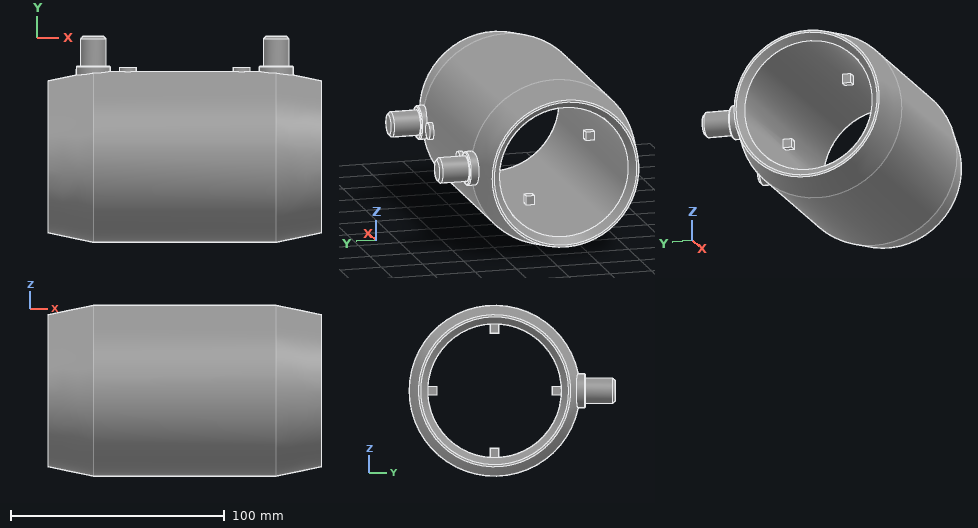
import cadquery as cq

length = 128.0
body_diameter = 80.0
body_radius = body_diameter / 2
end_radius = 35.6
straight_length = 85.5
bore_radius = 31.2
lip_width = 1.0
mouth_depth = 3.0

tab_count = 4
tab_width = 4.1
tab_thickness = 4.1
tab_tip_radius = 26.9

terminal_x = straight_length / 2
overall_width = 96.5
terminal_tip_y = overall_width - body_radius
terminal_diameter = 12.0
terminal_chamfer = 1.3
collar_diameter = 16.0
collar_top_y = 42.6
collar_chamfer = 0.5

button_x = 26.6
button_diameter = 8.0
button_top_y = 41.9

boss_root_y = (bore_radius + end_radius) / 2


def make_sleeve():
    """Revolve the wall section: tapered ends outside, flared mouths inside."""
    half = length / 2
    half_straight = straight_length / 2
    mouth_radius = end_radius - lip_width
    section = [
        (-half, mouth_radius),
        (-half, end_radius),
        (-half_straight, body_radius),
        (half_straight, body_radius),
        (half, end_radius),
        (half, mouth_radius),
        (half - mouth_depth, bore_radius),
        (mouth_depth - half, bore_radius),
    ]
    return cq.Workplane("XY").polyline(section).close().revolve(360, (0, 0, 0), (1, 0, 0))


def make_boss(x, diameter, top_y, chamfer=0.0):
    """Round boss along +Y, ending at top_y, with an optional chamfered top rim."""
    plane = cq.Plane(origin=(x, boss_root_y, 0), xDir=(1, 0, 0), normal=(0, 1, 0))
    boss = cq.Workplane(plane).circle(diameter / 2).extrude(top_y - boss_root_y)
    if chamfer > 0:
        boss = boss.faces(">Y").edges().chamfer(chamfer)
    return boss


def make_tab(angle):
    """Stop tab reaching from within the wall to the tip radius."""
    outer_radius = (bore_radius + body_radius) / 2
    tab = cq.Workplane("XY").box(tab_thickness, outer_radius - tab_tip_radius, tab_width)
    tab = tab.translate((0, (outer_radius + tab_tip_radius) / 2, 0))
    return tab.rotate((0, 0, 0), (1, 0, 0), angle)


result = make_sleeve()

for index in range(tab_count):
    result = result.union(make_tab(index * 360 / tab_count))

for side in (-1, 1):
    result = result.union(make_boss(side * terminal_x, collar_diameter, collar_top_y, collar_chamfer))
    result = result.union(make_boss(side * terminal_x, terminal_diameter, terminal_tip_y, terminal_chamfer))
    result = result.union(make_boss(side * button_x, button_diameter, button_top_y))